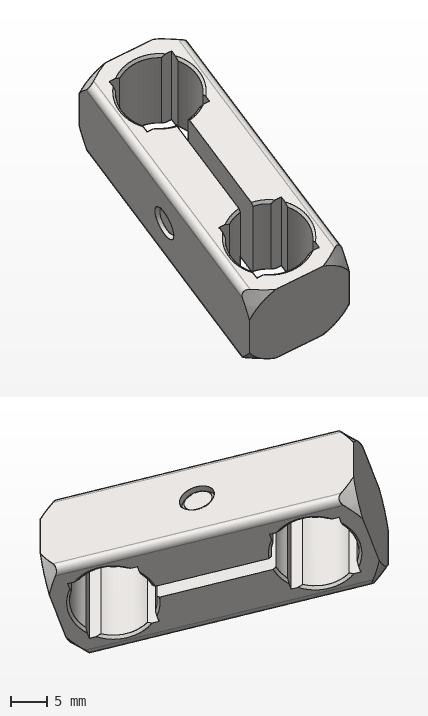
import cadquery as cq
import math

length = 45.0
width = 16.0
edge_radius = 1.2
end_circle_radius = 8.85
cone_angle = 48.0

bore_diameter = 12.0
bore_chamfer = 0.4
bore_offset = length / 2 - 8.0
notch_side = 10.0

slot_width = 2.0
pin_diameter = 5.0
pin_chamfer = 0.5
pin_recess = 0.5


def make_bar():
    """Square bar with rounded long edges and conically trimmed end corners."""
    bar = cq.Workplane("XY").box(length, width, width).edges("|X").fillet(edge_radius)
    envelope_radius = width
    cone_length = (envelope_radius - end_circle_radius) * math.tan(math.radians(cone_angle))
    half = length / 2
    envelope = (
        cq.Workplane("XY")
        .moveTo(-half, 0)
        .lineTo(-half, end_circle_radius)
        .lineTo(-half + cone_length, envelope_radius)
        .lineTo(half - cone_length, envelope_radius)
        .lineTo(half, end_circle_radius)
        .lineTo(half, 0)
        .close()
        .revolve(360, (0, 0, 0), (1, 0, 0))
    )
    return bar.intersect(envelope)


def make_bore(x):
    """Through bore, chamfered at both mouths, with four corner notches."""
    radius = bore_diameter / 2
    half = width / 2
    round_bore = (
        cq.Workplane("XZ")
        .moveTo(0, -half)
        .lineTo(radius + bore_chamfer, -half)
        .lineTo(radius, -half + bore_chamfer)
        .lineTo(radius, half - bore_chamfer)
        .lineTo(radius + bore_chamfer, half)
        .lineTo(0, half)
        .close()
        .revolve(360, (0, 0, 0), (0, 1, 0))
    )
    notches = cq.Workplane("XY").box(notch_side, notch_side, width)
    return round_bore.union(notches).translate((x, 0, 0))


def make_pin(diameter, pin_length):
    """Cylinder along Y, centred in the bar."""
    return cq.Workplane("XZ").circle(diameter / 2).extrude(pin_length / 2, both=True)


slot = cq.Workplane("XY").box(2 * bore_offset, slot_width, width)
pin_hole = make_pin(pin_diameter, width)
pin = make_pin(pin_diameter, width - 2 * pin_recess).faces("<Y or >Y").chamfer(pin_chamfer)

result = make_bar().cut(slot)
for side in (-1, 1):
    result = result.cut(make_bore(side * bore_offset))
result = result.cut(pin_hole).union(pin)